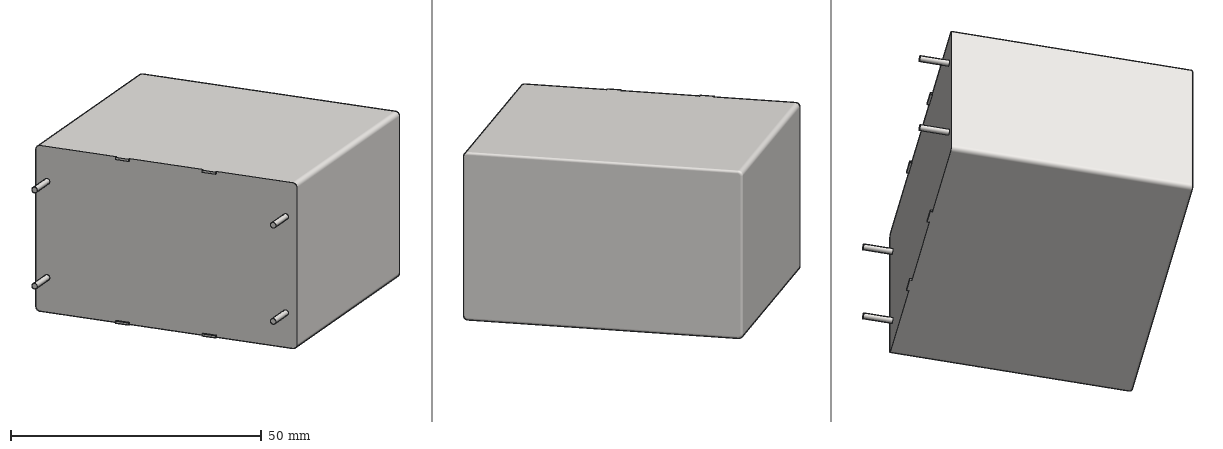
import cadquery as cq

width = 57.5
height = 35.0
total_depth = 55.5
pin_length = 6.0
body_depth = total_depth - pin_length
side_edge_radius = 1.0
back_edge_radius = 0.5

pin_diameter = 1.2
pin_spacing_x = 52.5
pin_spacing_z = 20.3

foot_width = 2.95
foot_height = 0.45
foot_length = 0.45
foot_spacing = 19.1

front_y = -total_depth / 2 + pin_length
back_y = front_y + body_depth


def make_body():
    """Block with rounded long edges and a rounded rim on the closed back."""
    block = cq.Workplane("XY").box(width, body_depth, height)
    block = block.translate((0, (front_y + back_y) / 2, 0))
    block = block.edges("|Y").fillet(side_edge_radius)
    return block.faces(">Y").edges().fillet(back_edge_radius)


def make_pins():
    """Four pins standing out of the pin face."""
    return (
        cq.Workplane("XZ", origin=(0, front_y, 0))
        .rect(pin_spacing_x, pin_spacing_z, forConstruction=True)
        .vertices()
        .circle(pin_diameter / 2)
        .extrude(pin_length)
    )


def make_feet():
    """Four small feet, flush with the upper and lower faces."""
    return (
        cq.Workplane("XZ", origin=(0, front_y, 0))
        .rect(foot_spacing, height - foot_height, forConstruction=True)
        .vertices()
        .rect(foot_width, foot_height)
        .extrude(foot_length)
    )


result = make_body().union(make_pins()).union(make_feet())